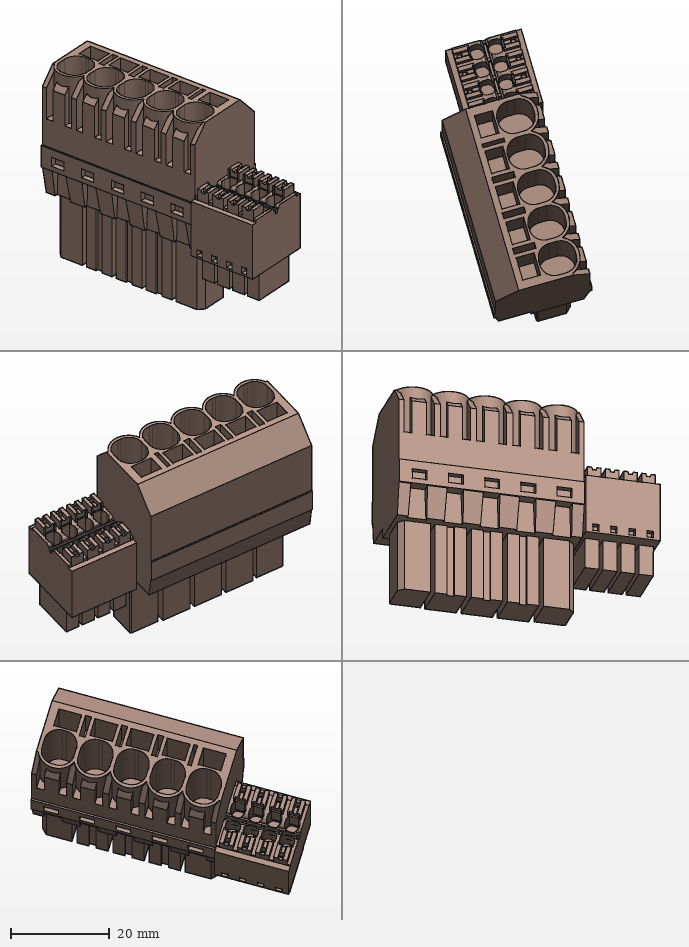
import cadquery as cq

total_length = 54.65
total_width = 21.55
total_height = 44.7

power_poles = 5
power_length = 38.95
power_pole_span = 30.5
power_pitch = power_pole_span / (power_poles - 1)
power_first_x = (power_length - power_pole_span) / 2
power_pole_xs = [power_first_x + i * power_pitch for i in range(power_poles)]

power_front = 1.25
power_rear = 21.2
power_bottom = 15.45
power_rear_bottom = 17.5
overhang_start = 13.7
front_chamfer_depth = 3.5
front_chamfer_drop = 3.75
rear_chamfer_depth = 4.9
rear_chamfer_drop = 5.1
front_taper = 1.3
rear_taper = 0.65

band_proud = 0.4
band_top = 27.25
band_bottom = 22.25
band_front = power_front - band_proud
band_rear = total_width

band_window_width = 3.1
band_window_height = 2.1
band_window_bottom = 23.35
band_window_depth = 1.25

taper_recess_top_width = 3.5
taper_recess_bottom_width = 3.95
taper_recess_back = 3.3

entry_y = 6.9
entry_width = 6.8
entry_length = 7.65
entry_corner_radius = 3.0
entry_depth = 16.4
boss_y = 6.5
boss_radius = 4.2
slot_bank_width = 6.35
slot_rib_width = 3.05
slot_depth = 11.0

release_width = 4.8
release_front = 11.15
release_rear = 14.9
release_depth = 10.95
slit_width = 1.25
last_slit_width = 0.75
slit_front = 10.5
slit_rear = 15.1
slit_depth = 8.2

plug_width = 6.6
plug_front = 4.75
plug_rear = 12.55
end_plug_rear_step = 0.35
end_plug_chamfer = 1.2
end_plug_rear_chamfer = 0.3
plug_groove_width = 1.55
plug_groove_depth = 0.55

signal_poles = 4
signal_pole_span = 11.4
signal_pitch = signal_pole_span / (signal_poles - 1)
signal_length = total_length - power_length
signal_depth = 15.95
signal_bottom = 15.65
signal_wall_top = 28.35
signal_wall_thickness = 1.2
signal_core_top = 28.95
signal_middle_x = power_length + signal_length / 2
signal_middle_y = signal_depth / 2
signal_pole_xs = [
    signal_middle_x - signal_pole_span / 2 + i * signal_pitch for i in range(signal_poles)
]

shoulder_radius = 0.7
ledge_width = 0.4
trough_groove_width = 0.65
trough_groove_depth = 0.8
trough_pocket_width = 3.15
trough_pocket_depth = 1.65

signal_entry_y = 5.95
signal_entry_width = 3.05
signal_entry_length = 3.15
signal_entry_corner_radius = 1.3
signal_entry_depth = 5.45

signal_window_width = 1.3
signal_window_height = 1.4
signal_window_bottom = 16.1
signal_window_depth = 1.25

signal_plug_width = 3.0
signal_plug_front = 3.05
signal_plug_rear = 12.95
signal_plug_bottom = 9.0

button_width = 2.85
button_front = signal_wall_thickness
button_rear = 4.6
button_top = 31.0
button_seat = 24.6
button_notch_width = 2.15
button_notch_depth = 0.35
button_notch_height = 1.7
button_groove_top_width = 1.15
button_groove_floor_width = 0.7
button_groove_depth = 0.55
probe_hole_radius = 0.55
probe_hole_y = 2.3
probe_hole_depth = 2.75


def block(x_range, y_range, z_range):
    """Axis-aligned box between the given limits."""
    (x0, x1), (y0, y1), (z0, z1) = x_range, y_range, z_range
    return cq.Workplane("XY").box(x1 - x0, y1 - y0, z1 - z0, centered=False).translate((x0, y0, z0))


def centred(middle, width):
    """Limits of a stretch of the given width about its middle."""
    return (middle - width / 2, middle + width / 2)


def upright_cylinder(x, y, radius, z_range):
    """Vertical cylinder between two heights."""
    z0, z1 = z_range
    return cq.Workplane("XY", origin=(x, y, z0)).circle(radius).extrude(z1 - z0)


def mirrored_row(shape):
    """Copy of a front-row shape turned round for the rear row of the signal section."""
    return shape.mirror("XZ", (0, signal_middle_y, 0))


def power_shell():
    """Plain power housing: chamfered top, tapered foot, rear overhang and waist band."""
    side_outline = [
        (power_front + front_taper, power_bottom),
        (power_front, band_bottom),
        (power_front, total_height - front_chamfer_drop),
        (power_front + front_chamfer_depth, total_height),
        (power_rear - rear_chamfer_depth, total_height),
        (power_rear, total_height - rear_chamfer_drop),
        (power_rear, band_bottom),
        (power_rear - rear_taper, power_rear_bottom),
        (overhang_start, power_rear_bottom),
        (overhang_start, power_bottom),
    ]
    shell = cq.Workplane("YZ").polyline(side_outline).close().extrude(power_length)
    band = block((0, power_length), (band_front, band_rear), (band_bottom, band_top))
    return shell.union(band)


def entry_boss(x):
    """Round collar of a wire entry, trimmed to the width of its pole."""
    heights = (total_height - slot_depth, total_height)
    collar = upright_cylinder(x, boss_y, boss_radius, heights)
    pole = block(centred(x, power_pitch), (power_front, power_rear), heights)
    return collar.intersect(pole)


def slot_bank(x):
    """Space in front of an entry that both front slots and their rib lie in."""
    return block(
        centred(x, slot_bank_width), (power_front, boss_y), (total_height - slot_depth, total_height)
    )


def slot_rib(x):
    """Rib between the two front slots, following the chamfered top of the shell."""
    rib = block(
        centred(x, slot_rib_width), (power_front, boss_y), (total_height - slot_depth, total_height)
    )
    return rib.intersect(power_shell())


def wire_entry(x):
    """Power wire hole: an upright opening with well-rounded corners."""
    bore = block(
        centred(x, entry_width), centred(entry_y, entry_length), (total_height - entry_depth, total_height)
    )
    return bore.edges("|Z").fillet(entry_corner_radius)


def release_opening(x):
    """Rectangular opening behind a wire entry."""
    return block(
        centred(x, release_width),
        (release_front, release_rear),
        (total_height - release_depth, total_height),
    )


def separating_slit(pole_index):
    """Slit between a pole and the next one; the last slit is narrower on its far side."""
    middle = power_pole_xs[pole_index] + power_pitch / 2
    left = middle - slit_width / 2
    is_last = pole_index == power_poles - 2
    width = last_slit_width if is_last else slit_width
    return block((left, left + width), (slit_front, slit_rear), (total_height - slit_depth, total_height))


def band_window(x):
    """Blind window in the front of the waist band."""
    return block(
        centred(x, band_window_width),
        (band_front, band_front + band_window_depth),
        (band_window_bottom, band_window_bottom + band_window_height),
    )


def taper_recess(x):
    """Recess with an upright back in the tapered foot, widening downwards."""
    outline = [
        (x - taper_recess_bottom_width / 2, power_bottom),
        (x + taper_recess_bottom_width / 2, power_bottom),
        (x + taper_recess_top_width / 2, band_bottom),
        (x - taper_recess_top_width / 2, band_bottom),
    ]
    return cq.Workplane("XZ").polyline(outline).close().extrude(-taper_recess_back)


def inner_plug(x):
    """Contact plug with a keying groove down its front."""
    plug = block(centred(x, plug_width), (plug_front, plug_rear), (0, power_bottom))
    groove = block(
        centred(x, plug_groove_width), (plug_front, plug_front + plug_groove_depth), (0, power_bottom)
    )
    return plug.cut(groove)


def end_plug(x, outer_edge):
    """Contact plug at an end of the row, with its two outer corners cut off."""
    plug = block(
        centred(x, plug_width), (plug_front, plug_rear - end_plug_rear_step), (0, power_bottom)
    )
    plug = plug.faces("<Y").edges(outer_edge).chamfer(end_plug_chamfer)
    return plug.faces(">Y").edges(outer_edge).chamfer(end_plug_rear_chamfer)


def power_section():
    """Power housing with all its openings and contact plugs."""
    section = power_shell()
    for x in power_pole_xs:
        section = section.cut(slot_bank(x)).union(slot_rib(x)).union(entry_boss(x))
    for x in power_pole_xs:
        for opening in (wire_entry, release_opening, band_window, taper_recess):
            section = section.cut(opening(x))
    for pole_index in range(power_poles - 1):
        section = section.cut(separating_slit(pole_index))
    section = section.union(end_plug(power_pole_xs[0], "<X"))
    section = section.union(end_plug(power_pole_xs[-1], ">X"))
    for x in power_pole_xs[1:-1]:
        section = section.union(inner_plug(x))
    return section


def signal_row_half():
    """Front half of the signal housing core, rounded down to the ledge beside the trough."""
    ledge_front = signal_middle_y - trough_groove_width / 2 - ledge_width
    ledge_top = signal_core_top - shoulder_radius
    groove_floor = ledge_top - trough_groove_depth
    outline = (
        cq.Workplane("YZ", origin=(power_length, 0, 0))
        .moveTo(0, signal_bottom)
        .lineTo(0, signal_wall_top)
        .lineTo(signal_wall_thickness, signal_wall_top)
        .lineTo(signal_wall_thickness, signal_core_top)
        .lineTo(ledge_front - shoulder_radius, signal_core_top)
        .radiusArc((ledge_front, ledge_top), shoulder_radius)
        .lineTo(ledge_front + ledge_width, ledge_top)
        .lineTo(ledge_front + ledge_width, groove_floor)
        .lineTo(signal_middle_y, groove_floor)
        .lineTo(signal_middle_y, signal_bottom)
        .close()
    )
    return outline.extrude(signal_length)


def trough_pocket(x):
    """Deeper pocket in the trough floor at each pole."""
    groove_floor = signal_core_top - shoulder_radius - trough_groove_depth
    return block(
        centred(x, trough_pocket_width),
        centred(signal_middle_y, trough_groove_width),
        (groove_floor - trough_pocket_depth, groove_floor),
    )


def signal_entry(x):
    """Wire hole of a front-row signal pole, with well-rounded corners."""
    bore = block(
        centred(x, signal_entry_width),
        centred(signal_entry_y, signal_entry_length),
        (signal_core_top - signal_entry_depth, signal_core_top),
    )
    return bore.edges("|Z").fillet(signal_entry_corner_radius)


def button_pocket(x):
    """Pocket that receives a front-row push button."""
    return block(centred(x, button_width), (button_front, button_rear), (button_seat, button_top))


def signal_window(x):
    """Small blind window low in the signal housing's front."""
    return block(
        centred(x, signal_window_width),
        (0, signal_window_depth),
        (signal_window_bottom, signal_window_bottom + signal_window_height),
    )


def signal_plug(x):
    """Contact plug shared by the two rows of a signal pole."""
    return block(
        centred(x, signal_plug_width),
        (signal_plug_front, signal_plug_rear),
        (signal_plug_bottom, signal_bottom),
    )


def signal_section():
    """Two-row signal housing with its openings and contact plugs."""
    front_half = signal_row_half()
    section = front_half.union(mirrored_row(front_half))
    for x in signal_pole_xs:
        for opening in (signal_entry(x), button_pocket(x)):
            section = section.cut(opening).cut(mirrored_row(opening))
        section = section.cut(trough_pocket(x))
        section = section.cut(signal_window(x))
        section = section.union(signal_plug(x))
    return section


def push_button(x):
    """Front-row push button with a tool groove, a probe hole and a notch facing the wire hole."""
    body = block(centred(x, button_width), (button_front, button_rear), (button_seat, button_top))
    groove_floor = button_top - button_groove_depth
    groove_outline = [
        (x - button_groove_top_width / 2, button_top),
        (x - button_groove_floor_width / 2, groove_floor),
        (x + button_groove_floor_width / 2, groove_floor),
        (x + button_groove_top_width / 2, button_top),
    ]
    groove = cq.Workplane("XZ").polyline(groove_outline).close().extrude(-button_rear)
    notch = block(
        centred(x, button_notch_width),
        (button_rear - button_notch_depth, button_rear),
        (button_top - button_notch_height, button_top),
    )
    probe_heights = (button_top - probe_hole_depth, button_top)
    probe_hole = upright_cylinder(x, probe_hole_y, probe_hole_radius, probe_heights)
    return body.cut(groove).cut(notch).cut(probe_hole)


housing = power_section().union(signal_section())

buttons = []
for pole_x in signal_pole_xs:
    front_button = push_button(pole_x)
    buttons.append(front_button.val())
    buttons.append(mirrored_row(front_button).val())

result = cq.Compound.makeCompound([housing.val(), *buttons])